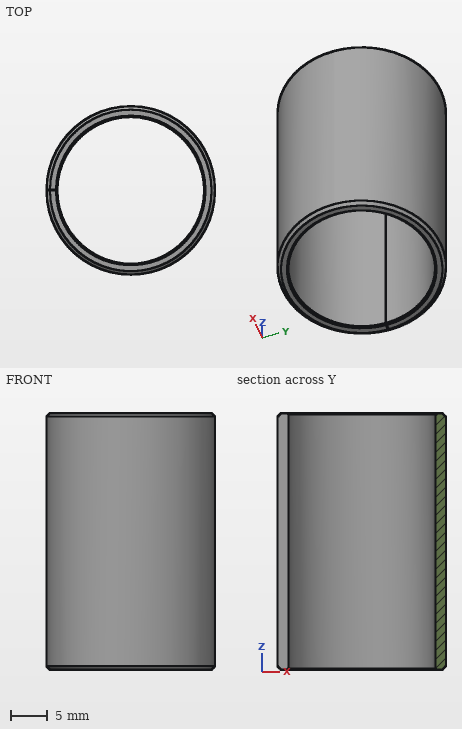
import cadquery as cq

length = 35.0
outer_diameter = 23.0
bore_diameter = 20.0
outer_chamfer = 0.5
bore_chamfer = 0.2
slit_width = 0.1

outer_radius = outer_diameter / 2
bore_radius = bore_diameter / 2


def tube():
    """Tube standing on the XY plane, with its outer and bore rims chamfered."""
    wall_section = [
        (bore_radius + bore_chamfer, 0),
        (outer_radius - outer_chamfer, 0),
        (outer_radius, outer_chamfer),
        (outer_radius, length - outer_chamfer),
        (outer_radius - outer_chamfer, length),
        (bore_radius + bore_chamfer, length),
        (bore_radius, length - bore_chamfer),
        (bore_radius, bore_chamfer),
    ]
    return cq.Workplane("XZ").polyline(wall_section).close().revolve(360, (0, 0), (0, 1))


def slit():
    """Full-length cutter through the -X wall, with one face on the Y = 0 plane."""
    cutter = cq.Workplane("XY").box(outer_radius, slit_width, length, centered=False)
    return cutter.translate((-outer_radius, 0, 0))


result = tube().cut(slit())